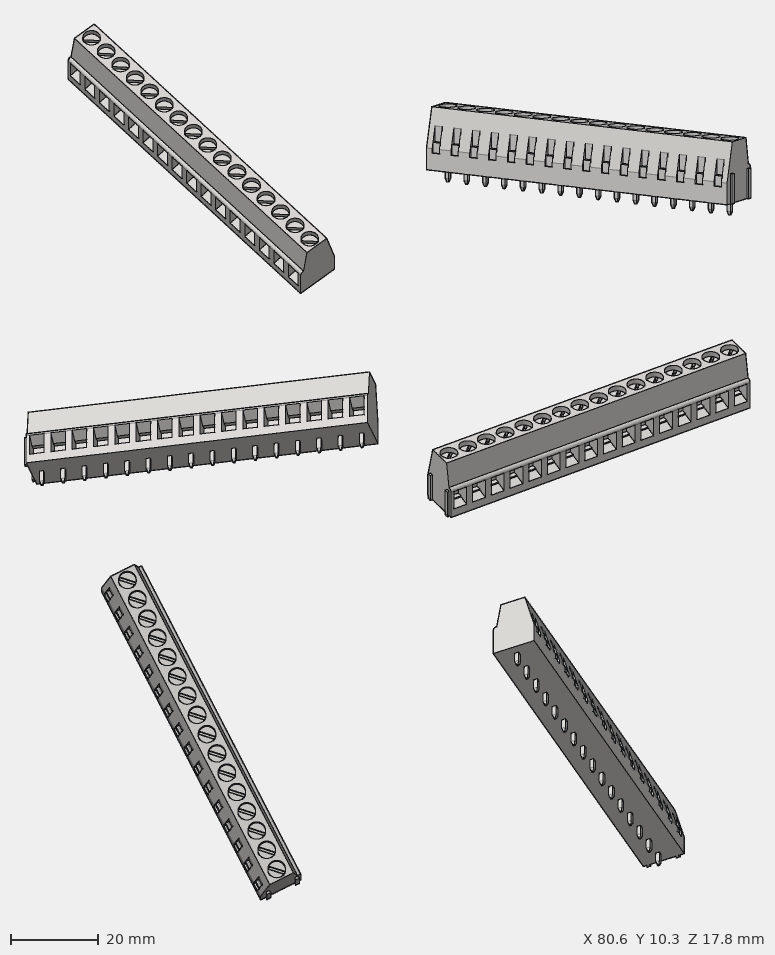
import cadquery as cq

total_length = 80.6
pole_count = 16
rib_projection = 0.6
body_length = total_length - rib_projection
pitch = body_length / pole_count
body_left = -total_length / 2 + rib_projection
depth = 10.3
body_height = 14.3

top_front_y = 1.9
top_back_y = 8.0
shoulder_radius = 0.9
shoulder_z = 8.0
back_slope_z = 5.1

entry_width = 3.4
entry_depth = 3.6
entry_bottom_z = 2.2
entry_top_z = shoulder_z - shoulder_radius
ceiling_back_z = 5.6
ramp_depth = 2.4
ramp_end_z = 2.75
ledge_z = 3.1

screw_y = (top_front_y + top_back_y) / 2
screw_diameter = 4.0
screw_recess = 1.4
driver_slot_length = 3.9
driver_slot_width = 0.65
driver_slot_depth = 0.9
driver_slot_angle = 45

notch_width = 1.9
notch_depth = 1.3
notch_bevel_end = 1.0
notch_bevel_z = 6.5
notch_step = 0.5
notch_shelf_z = 6.45
notch_floor_z = 4.0

pin_width = 1.0
pin_length = 3.5
pin_tip_length = 0.9
pin_tip_width = 0.4

rib_outer_width = 1.05
rib_height = 7.0
rib_taper = 0.2
rib_front_ys = (0.65, 8.0)

pole_xs = [body_left + (index + 0.5) * pitch for index in range(pole_count)]


def extrude_along_x(profile, left, length):
    """Extrude a profile drawn in the YZ plane from x = left."""
    return profile.extrude(length).translate((left, 0, 0))


def make_housing():
    """Tapered body with a rounded shoulder above the wire entries."""
    profile = (
        cq.Workplane("YZ")
        .moveTo(0, 0)
        .lineTo(0, shoulder_z - shoulder_radius)
        .radiusArc((shoulder_radius, shoulder_z), shoulder_radius)
        .lineTo(top_front_y, body_height)
        .lineTo(top_back_y, body_height)
        .lineTo(depth, back_slope_z)
        .lineTo(depth, 0)
        .close()
    )
    return extrude_along_x(profile, body_left, body_length)


def make_wire_entry(x):
    """Funnel with a falling ceiling and a ramp, ending in a level channel above a ledge."""
    profile = cq.Workplane("YZ").polyline([
        (0, entry_bottom_z),
        (ramp_depth, ramp_end_z),
        (ramp_depth, ledge_z),
        (entry_depth, ledge_z),
        (entry_depth, ceiling_back_z),
        (ramp_depth, ceiling_back_z),
        (0, entry_top_z),
    ]).close()
    return extrude_along_x(profile, x - entry_width / 2, entry_width)


def make_screw_recess(x):
    """Round recess down to the screw head, with the driver slot cut in the head."""
    head_z = body_height - screw_recess
    recess = cq.Workplane("XY").circle(screw_diameter / 2).extrude(screw_recess)
    slot = (
        cq.Workplane("XY")
        .rect(driver_slot_length, driver_slot_width)
        .extrude(-driver_slot_depth)
        .rotate((0, 0, 0), (0, 0, 1), driver_slot_angle)
    )
    return recess.union(slot).translate((x, screw_y, head_z))


def make_back_notch(x):
    """Notch with an upright wall, a bevelled shelf and a lower floor open to the back."""
    slope_run = (depth - top_back_y) / (body_height - back_slope_z)
    wall_top_z = back_slope_z + notch_depth / slope_run
    profile = cq.Workplane("YZ").polyline([
        (depth - notch_depth, wall_top_z),
        (depth - notch_depth, notch_bevel_z),
        (depth - notch_bevel_end, notch_shelf_z),
        (depth - notch_step, notch_shelf_z),
        (depth - notch_step, notch_floor_z),
        (depth, notch_floor_z),
        (depth, wall_top_z),
    ]).close()
    return extrude_along_x(profile, x - notch_width / 2, notch_width)


def make_pin(x):
    """Square pin below the housing with a tapered tip."""
    shank_length = pin_length - pin_tip_length
    shank = cq.Workplane("XY").rect(pin_width, pin_width).extrude(-shank_length)
    tip = (
        cq.Workplane("XY", origin=(0, 0, -shank_length))
        .rect(pin_width, pin_width)
        .workplane(offset=-pin_tip_length)
        .rect(pin_tip_width, pin_tip_width)
        .loft()
    )
    return shank.union(tip).translate((x, screw_y, 0))


def make_rib(front_y):
    """Upright dovetail rib on the left end face, widest at its outer side."""
    back_y = front_y + rib_outer_width
    outer_x = -total_length / 2
    return cq.Workplane("XY").polyline([
        (outer_x, front_y),
        (body_left, front_y + rib_taper),
        (body_left, back_y - rib_taper),
        (outer_x, back_y),
    ]).close().extrude(rib_height)


result = make_housing()
for front_y in rib_front_ys:
    result = result.union(make_rib(front_y))
for x in pole_xs:
    result = result.cut(make_wire_entry(x))
    result = result.cut(make_screw_recess(x))
    result = result.cut(make_back_notch(x))
    result = result.union(make_pin(x))